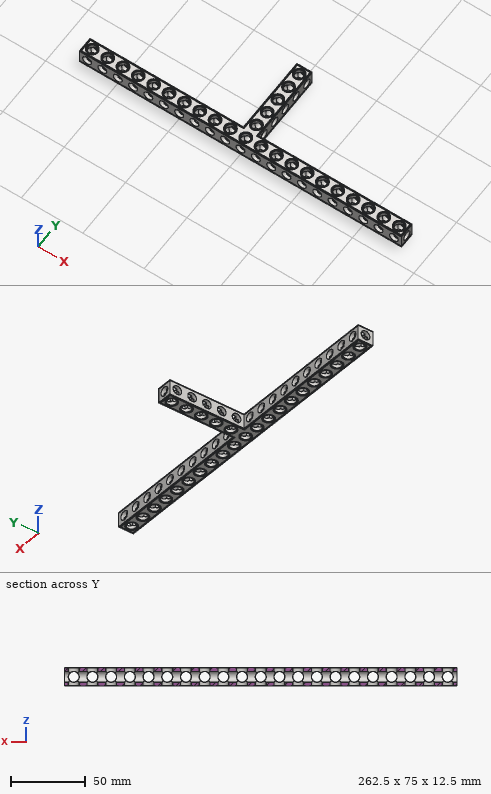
import cadquery as cq

beam_length = 262.5
beam_holes = 21
stem_holes = 5
pitch = beam_length / beam_holes
thickness = pitch
half_thickness = thickness / 2

hole_diameter = 7.0
rim_diameter = 9.2
step_count = 2
step_inset = (rim_diameter - hole_diameter) / 2 / step_count
step_height = 0.15
core_height = thickness - 2 * step_count * step_height

beam_centres = [((i - (beam_holes - 1) / 2) * pitch, 0) for i in range(beam_holes)]
stem_centres = [(0, (i + 1) * pitch) for i in range(stem_holes)]
stem_reach = stem_holes * pitch


def tee_layer(inset, height):
    """T-shaped slab centred on the XY plane, with its outline moved in and its holes widened by inset."""
    width = thickness - 2 * inset
    beam = cq.Workplane("XY").box(beam_length - 2 * inset, width, height)
    stem = cq.Workplane("XY").center(0, stem_reach / 2).box(width, stem_reach + width, height)
    holes = (
        cq.Workplane("XY")
        .workplane(offset=-height / 2)
        .pushPoints(beam_centres + stem_centres)
        .circle(hole_diameter / 2 + inset)
        .extrude(height)
    )
    return beam.union(stem).cut(holes)


def bore(plane, points, start, length):
    """Round bores normal to plane, from start on the plane's normal axis, through the given points."""
    return (
        cq.Workplane(plane)
        .workplane(offset=start)
        .pushPoints(points)
        .circle(hole_diameter / 2)
        .extrude(length)
    )


result = tee_layer(0, core_height)
for step in range(1, step_count + 1):
    result = result.union(tee_layer(step * step_inset, core_height + 2 * step * step_height))

beam_x_points = [(x, 0) for x, _ in beam_centres]
cross_length = stem_reach + thickness
result = result.cut(bore("XZ", beam_x_points, -(stem_reach + half_thickness), cross_length))

row_points = [(0, 0)] + [(y, 0) for _, y in stem_centres]
result = result.cut(bore("YZ", row_points, -beam_length / 2, beam_length))